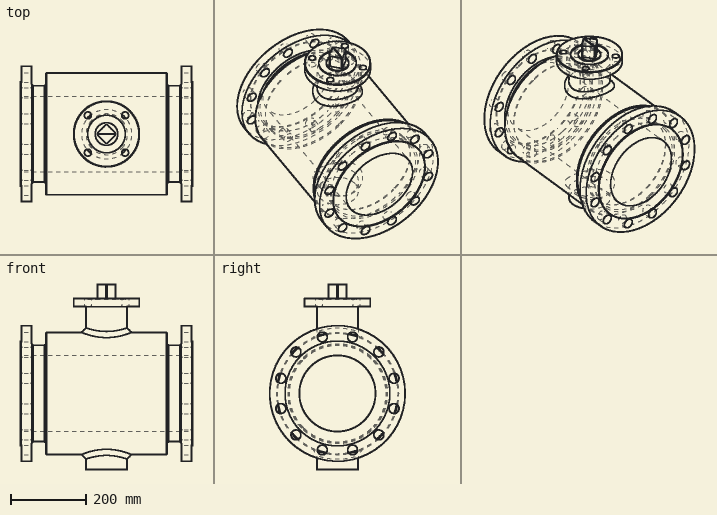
import cadquery as cq

total_length = 457.0
bore_d = 201.5
pipe_d = 256.0
flange_d = 360.0
flange_thickness = 27.0
raised_face_d = 278.0
raised_face_height = 3.0
flange_weld = 4.5
body_d = 324.0
body_length = 322.5
body_chamfer = 2.5
body_weld_length = 4.5
body_weld_height = 2.0

bolt_count = 12
bolt_hole_d = 26.0
bolt_circle_d = 310.0

neck_d = 109.0
neck_weld = 12.0
neck_bottom_z = -202.0
top_z = neck_bottom_z + 491.5
mount_d = 175.0
mount_top_z = 253.0
mount_thickness = 22.5
mount_chamfer = 1.5
mount_hole_d = 18.0
mount_hole_count = 4
mount_circle_d = 140.0
recess_d = 100.0
recess_depth = 3.0
boss_d = 60.0
boss_height = 3.0
square_width = 37.5
square_corner_d = 48.0
indicator_width = 1.0
indicator_depth = 1.0


def x_cylinder(diameter, length):
    """Solid cylinder along X, centred on the origin."""
    return cq.Workplane("YZ").workplane(offset=-length / 2).circle(diameter / 2).extrude(length)


def z_cylinder(diameter, bottom, top):
    """Solid cylinder on the Z axis between two heights."""
    return cq.Workplane("XY").workplane(offset=bottom).circle(diameter / 2).extrude(top - bottom)


def body_with_necks():
    """Central barrel with the stem necks joined by sloped welds."""
    body = x_cylinder(body_d, body_length).faces("<X or >X").chamfer(body_chamfer)
    necks = z_cylinder(neck_d, neck_bottom_z, mount_top_z - mount_thickness)
    joined = body.union(necks)
    margin = 0.5
    reach = neck_d / 2 + margin
    reach_z = body_d / 2 + margin
    near_junction = cq.selectors.BoxSelector(
        (-reach, -reach, -reach_z), (reach, reach, reach_z), boundingbox=True
    )
    return joined.edges(near_junction).chamfer(neck_weld).clean()


def pipe_and_flange():
    """Pipe end at +X with its flange, raised face and weld beads, revolved about X."""
    face_x = total_length / 2
    flange_outer_x = face_x - raised_face_height
    flange_inner_x = flange_outer_x - flange_thickness
    body_x = body_length / 2
    pipe_r = pipe_d / 2
    profile = [
        (0, 0),
        (0, pipe_r + body_weld_height),
        (body_x, pipe_r + body_weld_height),
        (body_x + body_weld_length, pipe_r),
        (flange_inner_x - flange_weld, pipe_r),
        (flange_inner_x, pipe_r + flange_weld),
        (flange_inner_x, flange_d / 2),
        (flange_outer_x, flange_d / 2),
        (flange_outer_x, raised_face_d / 2),
        (face_x, raised_face_d / 2),
        (face_x, 0),
    ]
    return cq.Workplane("XY").polyline(profile).close().revolve(360, (0, 0), (1, 0))


def bolt_holes():
    """Flange bolt holes at both ends, leaving the barrel between them whole."""
    inner_x = total_length / 2 - raised_face_height - flange_thickness
    holes = (
        cq.Workplane("YZ")
        .workplane(offset=inner_x)
        .polarArray(bolt_circle_d / 2, 180 / bolt_count, 360, bolt_count)
        .circle(bolt_hole_d / 2)
        .extrude(flange_thickness + raised_face_height)
    )
    return holes.union(holes.mirror("YZ"))


def mounting_plate():
    """Actuator plate with bolt holes, a round recess and a boss inside it."""
    bottom_z = mount_top_z - mount_thickness
    plate = z_cylinder(mount_d, bottom_z, mount_top_z).faces(">Z").chamfer(mount_chamfer)
    holes = (
        cq.Workplane("XY")
        .workplane(offset=bottom_z)
        .polarArray(mount_circle_d / 2, 180 / mount_hole_count, 360, mount_hole_count)
        .circle(mount_hole_d / 2)
        .extrude(mount_thickness)
    )
    floor_z = mount_top_z - recess_depth
    recess = z_cylinder(recess_d, floor_z, mount_top_z)
    boss = z_cylinder(boss_d, floor_z, floor_z + boss_height)
    return plate.cut(holes).cut(recess).union(boss)


def stem_square():
    """Square drive set corner-on to X and Y, with turned corners and an indicator groove."""
    base_z = mount_top_z - recess_depth
    square = (
        cq.Workplane("XY")
        .workplane(offset=base_z)
        .transformed(rotate=(0, 0, 45))
        .rect(square_width, square_width)
        .extrude(top_z - base_z)
    )
    groove = (
        cq.Workplane("XY")
        .workplane(offset=top_z - indicator_depth)
        .rect(square_corner_d, indicator_width)
        .extrude(indicator_depth)
    )
    return square.intersect(z_cylinder(square_corner_d, base_z, top_z)).cut(groove)


pipe_end = pipe_and_flange()
result = (
    body_with_necks()
    .union(pipe_end)
    .union(pipe_end.mirror("YZ"))
    .cut(x_cylinder(bore_d, total_length))
    .cut(bolt_holes())
    .union(mounting_plate())
    .union(stem_square())
)